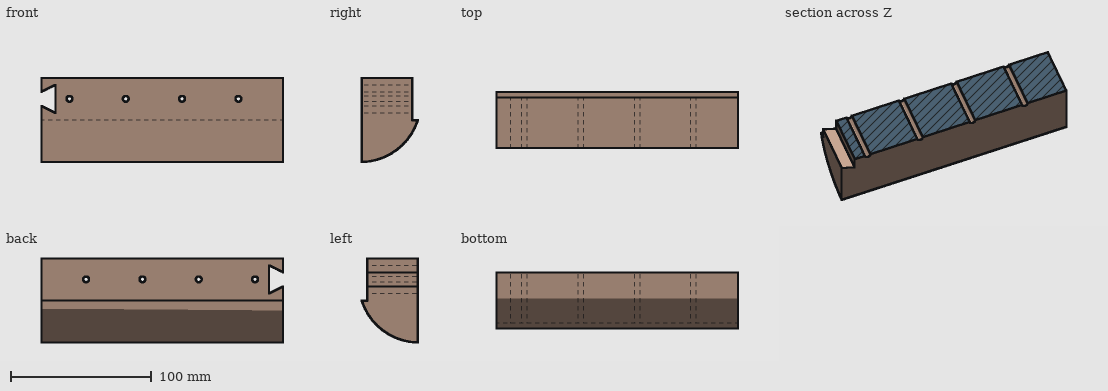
import cadquery as cq

length = 172.0
height = 60.0
body_depth = 36.1
lip_depth = 40.0
lip_height = 30.0

slot_depth = 10.0
slot_center_drop = 15.0
slot_mouth = 10.0
slot_floor = 20.0

hole_diameter = 4.0
hole_count = 4
first_hole_x = 20.0
hole_pitch = 40.0

feature_z = height - slot_center_drop

arc_radius = 43.0


def make_body():
    """Extrude the end profile along X."""
    return (
        cq.Workplane("YZ")
        .moveTo(0, 0)
        .lineTo(0, height)
        .lineTo(body_depth, height)
        .lineTo(body_depth, lip_height)
        .lineTo(lip_depth, lip_height)
        .radiusArc((0, 0), arc_radius)
        .close()
        .extrude(length)
    )


def make_slot():
    """Dovetail running through the full depth, wider at its floor."""
    return (
        cq.Workplane("XZ")
        .polyline([
            (0, feature_z - slot_mouth / 2),
            (slot_depth, feature_z - slot_floor / 2),
            (slot_depth, feature_z + slot_floor / 2),
            (0, feature_z + slot_mouth / 2),
        ])
        .close()
        .extrude(-lip_depth)
    )


def make_holes():
    """Evenly spaced cylinders along Y."""
    centers = [(first_hole_x + i * hole_pitch, feature_z) for i in range(hole_count)]
    return (
        cq.Workplane("XZ")
        .pushPoints(centers)
        .circle(hole_diameter / 2)
        .extrude(-lip_depth)
    )


result = make_body().cut(make_slot()).cut(make_holes())